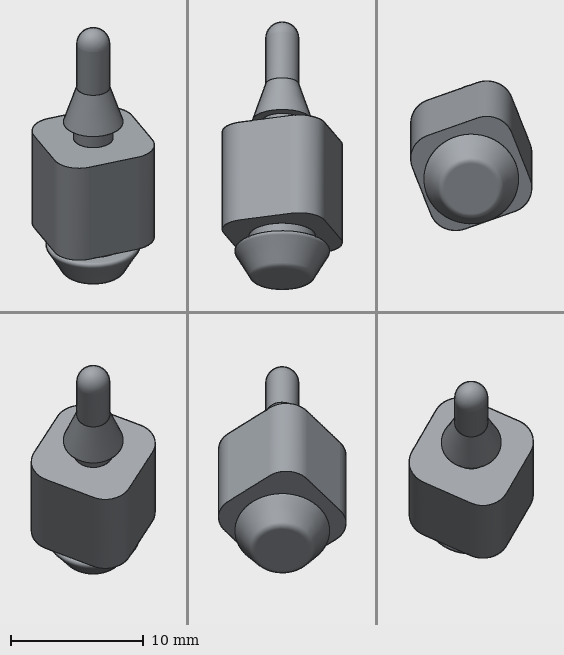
import cadquery as cq
import math

body_side = 8.0
body_height = 8.0
body_corner_radius = 2.0

foot_rim_radius = 3.57
lower_neck_radius = 2.5
upper_neck_radius = 1.5
barb_radius = 2.25
pin_radius = 1.25

foot_height = 2.5
body_bottom = 3.5
body_top = body_bottom + body_height
barb_bottom = 12.9
barb_top = 15.9
total_height = 20.9

foot_taper = math.radians(30)
rim_round = 0.25
foot_bottom_round = 0.5


def disc(radius, bottom, top):
    """Cylinder about the Z axis between two heights."""
    return cq.Workplane("XY").workplane(offset=bottom).circle(radius).extrude(top - bottom)


def point_on_round(center, radius, angle):
    """Point on an arc, with the angle measured below the horizontal."""
    return (center[0] + radius * math.cos(angle), center[1] - radius * math.sin(angle))


def make_foot():
    """Tapered snap-in foot whose rim and bottom rounds are tangent to the cone side."""
    rim_center = (foot_rim_radius - rim_round, foot_height - rim_round)
    rim_end = point_on_round(rim_center, rim_round, foot_taper)
    rim_mid_angle = (foot_taper - math.pi / 2) / 2

    cone_bottom = foot_bottom_round * (1 - math.sin(foot_taper))
    cone_bottom_radius = rim_end[0] - (rim_end[1] - cone_bottom) * math.tan(foot_taper)
    bottom_flat_radius = cone_bottom_radius - foot_bottom_round * math.cos(foot_taper)
    bottom_center = (bottom_flat_radius, foot_bottom_round)
    bottom_mid_angle = (foot_taper + math.pi / 2) / 2

    profile = (
        cq.Workplane("XZ")
        .moveTo(0, 0)
        .lineTo(bottom_flat_radius, 0)
        .threePointArc(
            point_on_round(bottom_center, foot_bottom_round, bottom_mid_angle),
            (cone_bottom_radius, cone_bottom),
        )
        .lineTo(*rim_end)
        .threePointArc(
            point_on_round(rim_center, rim_round, rim_mid_angle),
            (rim_center[0], foot_height),
        )
        .lineTo(0, foot_height)
        .close()
    )
    return profile.revolve(360, (0, 0, 0), (0, 1, 0))


def make_body():
    """Square block with rounded vertical edges."""
    block = cq.Workplane("XY").workplane(offset=body_bottom).rect(body_side, body_side)
    return block.extrude(body_height).edges("|Z").fillet(body_corner_radius)


def make_barbed_pin():
    """Neck, conical barb and round-ended pin above the body."""
    dome_start = total_height - pin_radius
    dome_mid = pin_radius * 0.5 ** 0.5
    profile = (
        cq.Workplane("XZ")
        .moveTo(0, body_top)
        .lineTo(upper_neck_radius, body_top)
        .lineTo(upper_neck_radius, barb_bottom)
        .lineTo(barb_radius, barb_bottom)
        .lineTo(pin_radius, barb_top)
        .lineTo(pin_radius, dome_start)
        .threePointArc((dome_mid, dome_start + dome_mid), (0, total_height))
        .close()
    )
    return profile.revolve(360, (0, 0, 0), (0, 1, 0))


lower_neck = disc(lower_neck_radius, foot_height, body_bottom)
result = make_foot().union(lower_neck).union(make_body()).union(make_barbed_pin())